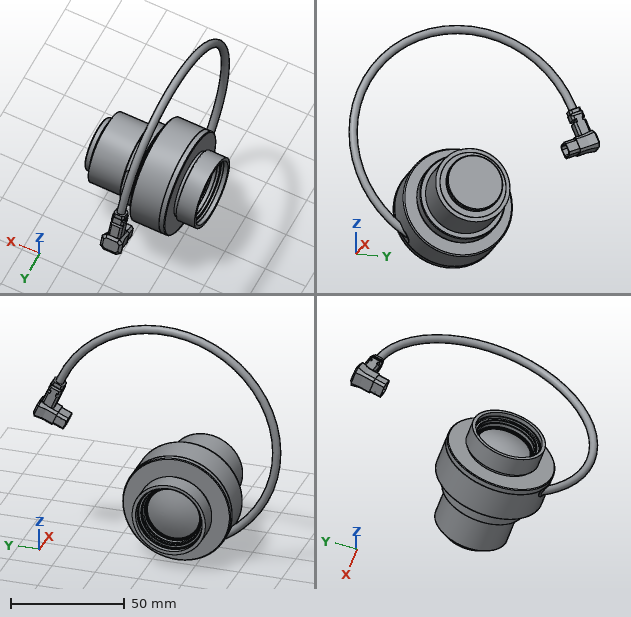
import cadquery as cq
import math


front_tube_end = 9.0
main_ring_start = 10.7
main_ring_seam = 13.4
main_ring_end = 28.2
collar_end = 28.6
waist_end = 29.4
clamp_ring_start = 29.8
clamp_ring_end = 35.8
rear_tube_end = 52.6
rear_shoulder_end = 53.0
thread_relief_end = 53.7
barrel_length = 56.58

tube_dia = 34.0
front_neck_dia = 31.6
main_ring_dia = 50.0
collar_dia = 31.5
waist_dia = 26.4
waist_flange_dia = 29.0
clamp_ring_dia = 39.0
rear_shoulder_dia = 30.2
thread_relief_dia = 24.4
mount_thread_dia = 25.4

main_ring_front_chamfer = 0.4
main_ring_rear_chamfer = 0.6
clamp_ring_chamfer = 0.4
mount_thread_chamfer = 0.4
seam_width = 0.1
seam_depth = 0.1

bore_steps = [
    (30.8, 2.0),
    (29.8, 3.0),
    (28.0, 3.2),
    (27.2, 4.3),
    (26.0, 6.0),
    (25.2, 6.6),
    (24.4, 7.0),
]
lens_dia = bore_steps[-1][0]
lens_edge_depth = bore_steps[-1][1]
lens_apex_depth = 4.5

flat_angle = 31.0
flat_distance = 18.75
flat_round_end = 4.9
flat_cutter_dia = 5.2
set_screw_angle = 17.0
set_screw_dia = 2.5
set_screw_depth = 3.0

cable_dia = 3.7
cable_x = 16.3
cable_center_y = 7.4
cable_center_z = 32.57
cable_bend_radius = 52.12
cable_root_radius = 53.0
cable_root_angle = 243.0
cable_blend_angle = 180.0
cable_exit_tilt = 23.5
cable_tail = 1.8

recess_x = 14.9
recess_z = -12.9
recess_dia = 6.4
recess_depth = 0.2

grip_width = 5.3
grip_depth = 5.6
grip_length = 1.8
stem_width = 6.0
stem_depth = 6.0
stem_bevel = 1.0
stem_end = 14.0
groove_radius = 0.6
notch_start = 4.7
notch_end = 6.0
notch_core = 2.8
head_center = 16.0
head_rear = -4.1
head_wide = -3.2
head_middle = 0.75
head_plug = 5.7
head_front = 10.9
head_rear_size = (7.6, 5.7)
head_wide_size = (10.2, 8.4)
head_middle_size = (8.2, 7.2)
head_plug_size = (7.5, 6.3)
head_wide_bevel = (2.0, 1.6)
head_bevel = (1.1, 1.15)
socket_wall = 0.6
socket_depth = 4.0


def disc(start, end, diameter):
    """Cylinder on the lens axis between two axial stations."""
    return cq.Workplane("YZ", origin=(start, 0, 0)).circle(diameter / 2).extrude(end - start)


def octagon(plane, size, bevel):
    """Rectangle with four bevelled corners, as a wire on the given plane."""
    half_w = size[0] / 2
    half_h = size[1] / 2
    in_w = half_w - bevel[0]
    in_h = half_h - bevel[1]
    points = [
        (half_w, -in_h), (half_w, in_h), (in_w, half_h), (-in_w, half_h),
        (-half_w, in_h), (-half_w, -in_h), (-in_w, -half_h), (in_w, -half_h),
    ]
    return cq.Workplane(plane).polyline(points).close().wire().val()


def loft(first, second):
    """Straight-sided solid between two wires."""
    return cq.Workplane(cq.Solid.makeLoft([first, second], True))


def skin(start, end, thickness):
    """Thin outer layer of the main ring between two axial stations."""
    core = disc(start, end, main_ring_dia - 2 * thickness)
    return disc(start, end, main_ring_dia).cut(core)


def make_main_ring():
    ring = disc(main_ring_start, main_ring_end, main_ring_dia)
    ring = ring.faces("<X").chamfer(main_ring_front_chamfer)
    ring = ring.faces(">X").chamfer(main_ring_rear_chamfer)
    seam = skin(main_ring_seam, main_ring_seam + seam_width, seam_depth)
    recess = (
        cq.Workplane("XZ", origin=(recess_x, 0, recess_z))
        .circle(recess_dia / 2)
        .extrude(main_ring_dia / 2)
        .intersect(skin(main_ring_seam, main_ring_end, recess_depth))
    )
    return ring.cut(seam).cut(recess)


def make_clamp_ring():
    ring = disc(clamp_ring_start, clamp_ring_end, clamp_ring_dia)
    ring = ring.faces("<X or >X").chamfer(clamp_ring_chamfer)
    middle = (clamp_ring_start + clamp_ring_end) / 2

    cutter_center = flat_round_end - flat_cutter_dia / 2
    cutter_height = clamp_ring_dia / 2
    end_cut = (
        cq.Workplane("XZ", origin=(middle, flat_distance, cutter_center))
        .circle(flat_cutter_dia / 2)
        .extrude(-cutter_height)
    )
    run_out = (
        cq.Workplane("XY")
        .box(flat_cutter_dia, cutter_height, clamp_ring_dia, centered=(True, False, False))
        .translate((middle, flat_distance, cutter_center - clamp_ring_dia))
    )
    flat = end_cut.union(run_out).rotate((0, 0, 0), (1, 0, 0), flat_angle)

    hole_bottom = clamp_ring_dia / 2 - set_screw_depth
    hole = (
        cq.Workplane("XZ", origin=(middle, hole_bottom, 0))
        .circle(set_screw_dia / 2)
        .extrude(-2 * set_screw_depth)
        .rotate((0, 0, 0), (1, 0, 0), set_screw_angle)
    )
    return ring.cut(flat).cut(hole)


def make_lens_dome():
    """Convex front lens: a spherical cap revolved about the lens axis."""
    return (
        cq.Workplane("XY")
        .moveTo(lens_apex_depth, 0)
        .lineTo(lens_edge_depth, 0)
        .lineTo(lens_edge_depth, lens_dia / 2)
        .radiusArc((lens_apex_depth, 0), -lens_radius())
        .close()
        .revolve(360, (0, 0, 0), (1, 0, 0))
    )


def lens_radius():
    sag = lens_edge_depth - lens_apex_depth
    return ((lens_dia / 2) ** 2 + sag ** 2) / (2 * sag)


def make_barrel():
    barrel = disc(0, front_tube_end, tube_dia)
    barrel = barrel.union(disc(front_tube_end, main_ring_start, front_neck_dia))
    barrel = barrel.union(make_main_ring())
    barrel = barrel.union(disc(main_ring_end, collar_end, collar_dia))
    barrel = barrel.union(disc(collar_end, waist_end, waist_dia))
    barrel = barrel.union(disc(waist_end, clamp_ring_start, waist_flange_dia))
    barrel = barrel.union(make_clamp_ring())
    barrel = barrel.union(disc(clamp_ring_end, rear_tube_end, tube_dia))
    barrel = barrel.union(disc(rear_tube_end, rear_shoulder_end, rear_shoulder_dia))
    barrel = barrel.union(disc(rear_shoulder_end, thread_relief_end, thread_relief_dia))
    thread = disc(thread_relief_end, barrel_length, mount_thread_dia)
    barrel = barrel.union(thread.faces("<X or >X").chamfer(mount_thread_chamfer))
    for diameter, depth in bore_steps:
        barrel = barrel.cut(disc(0, depth, diameter))
    return barrel.union(make_lens_dome())


def cable_point(angle):
    """Point on the main arc of the cable centreline."""
    turn = math.radians(angle)
    y = cable_center_y + cable_bend_radius * math.cos(turn)
    z = cable_center_z + cable_bend_radius * math.sin(turn)
    return cq.Vector(cable_x, y, z)


def cable_root_point(angle):
    """Point on the flatter arc that leads from the main arc into the main ring."""
    blend = math.radians(cable_blend_angle)
    turn = math.radians(angle)
    start = cable_point(cable_blend_angle)
    y = start.y + cable_root_radius * (math.cos(turn) - math.cos(blend))
    z = start.z + cable_root_radius * (math.sin(turn) - math.sin(blend))
    return cq.Vector(cable_x, y, z)


def exit_plane():
    """Cable end: local x is the part's X, local z runs on along the cable."""
    tilt = math.radians(cable_exit_tilt)
    along = cq.Vector(0, math.sin(tilt), -math.cos(tilt))
    return cq.Plane(origin=cable_point(cable_exit_tilt), xDir=(1, 0, 0), normal=along)


def make_cable():
    main_middle = (cable_exit_tilt + cable_blend_angle) / 2
    root_middle = (cable_blend_angle + cable_root_angle) / 2
    main_arc = cq.Edge.makeThreePointArc(
        cable_point(cable_exit_tilt), cable_point(main_middle), cable_point(cable_blend_angle)
    )
    root_arc = cq.Edge.makeThreePointArc(
        cable_root_point(cable_blend_angle), cable_root_point(root_middle), cable_root_point(cable_root_angle)
    )
    path = cq.Wire.assembleEdges([main_arc, root_arc])
    bend = cq.Workplane(exit_plane()).circle(cable_dia / 2).sweep(cq.Workplane(path))
    tail = cq.Workplane(exit_plane()).circle(cable_dia / 2).extrude(cable_tail)
    return bend.union(tail)


def make_connector_stem():
    bevel = (stem_bevel, stem_bevel)
    grip_end = cq.Plane(origin=(0, 0, grip_length))
    grip = loft(
        octagon(cq.Plane.XY(), (grip_width, grip_depth), bevel),
        octagon(grip_end, (grip_width, grip_depth), bevel),
    )
    stem = loft(
        octagon(grip_end, (stem_width, stem_depth), bevel),
        octagon(cq.Plane(origin=(0, 0, stem_end)), (stem_width, stem_depth), bevel),
    )
    stem = stem.union(grip)
    for side in (-1, 1):
        groove = (
            cq.Workplane("XZ", origin=(side * stem_width / 2, 0, grip_length + groove_radius))
            .circle(groove_radius)
            .extrude(stem_depth, both=True)
        )
        notch = (
            cq.Workplane("XY")
            .box(stem_width, stem_depth, notch_end - notch_start, centered=(True, True, False))
            .translate((0, side * (notch_core + stem_depth) / 2, notch_start))
        )
        stem = stem.cut(groove).cut(notch)
    return stem


def head_section(y, size, bevel):
    plane = cq.Plane(origin=(0, y, head_center), xDir=(1, 0, 0), normal=(0, 1, 0))
    return octagon(plane, size, bevel)


def make_connector_head():
    rear = loft(
        head_section(head_rear, head_rear_size, head_bevel),
        head_section(head_wide, head_wide_size, head_wide_bevel),
    )
    taper = loft(
        head_section(head_wide, head_wide_size, head_wide_bevel),
        head_section(head_middle, head_middle_size, head_bevel),
    )
    middle = loft(
        head_section(head_middle, head_middle_size, head_bevel),
        head_section(head_plug, head_middle_size, head_bevel),
    )
    plug = loft(
        head_section(head_plug, head_plug_size, head_bevel),
        head_section(head_front, head_plug_size, head_bevel),
    )
    socket_size = tuple(side - 2 * socket_wall for side in head_plug_size)
    socket = loft(
        head_section(head_front - socket_depth, socket_size, head_bevel),
        head_section(head_front, socket_size, head_bevel),
    )
    return rear.union(taper).union(middle).union(plug).cut(socket)


def make_connector():
    connector = make_connector_head().union(make_connector_stem())
    frame = exit_plane()
    frame.origin = frame.toWorldCoords((0, 0, cable_tail))
    return cq.Workplane(connector.val().moved(cq.Location(frame)))


result = make_barrel().union(make_cable()).union(make_connector())